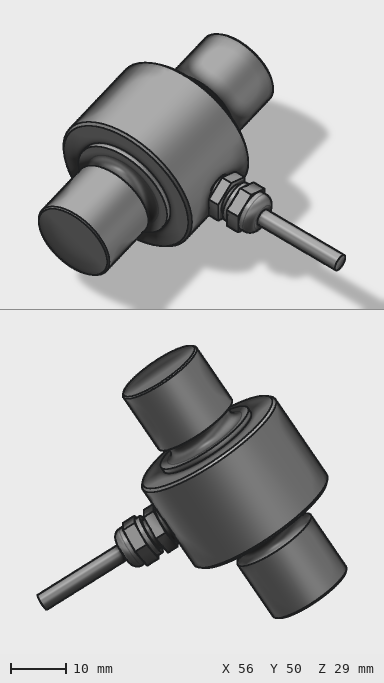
import cadquery as cq
import math


housing_radius = 29 / 2
housing_half_width = 9.0
housing_chamfer = 0.5

stud_radius = 16 / 2
stud_end_y = 25.0
stud_chamfer = 0.3
groove_radius = 1.5
shoulder_y = housing_half_width + 1.0
neck_center_y = shoulder_y + groove_radius
stud_start_y = shoulder_y + 2 * groove_radius
core_radius = 19 / 2
flange_radius = 20 / 2

cable_radius = 3.2 / 2
cable_end_x = 41.5

hex_across_flats = 8.0
gland_seat_x = 14.05
collar_radius = 7 / 2
body_hex_start_x = 14.9
body_hex_end_x = 17.0
thread_radius = 6 / 2
nut_start_x = 18.0
nut_hex_start_x = 19.0
nut_hex_end_x = 21.5
nut_radius = 7.8 / 2
dome_start_x = 22.4
dome_end_x = 24.0
dome_flat_radius = 4.92 / 2
thread_end_x = nut_hex_end_x


def rod_x(radius, start_x, end_x):
    """Cylinder on the X axis between two stations."""
    return cq.Workplane("YZ", origin=(start_x, 0, 0)).circle(radius).extrude(end_x - start_x)


def rod_y(radius, half_length):
    """Cylinder on the Y axis, centred on the origin."""
    return cq.Workplane("XZ").circle(radius).extrude(half_length, both=True)


def hexagon_x(start_x, end_x):
    """Hexagonal prism on the X axis, with corners pointing up and down."""
    corner_radius = hex_across_flats / math.sqrt(3)
    corners = []
    for index in range(6):
        angle = math.radians(90 + 60 * index)
        corners.append((corner_radius * math.cos(angle), corner_radius * math.sin(angle)))
    return cq.Workplane("YZ", origin=(start_x, 0, 0)).polyline(corners).close().extrude(end_x - start_x)


def make_housing():
    """Chamfered ring, bored for the spindle core and recessed for the gland collar."""
    ring = rod_y(housing_radius, housing_half_width).faces("<Y or >Y").chamfer(housing_chamfer)
    bore = rod_y(core_radius, housing_half_width)
    gland_recess = rod_x(collar_radius, gland_seat_x, housing_radius)
    return ring.cut(bore).cut(gland_recess)


def make_spindle():
    """Turned spindle: a stud and round groove at each end, and a flange against the -Y housing face."""
    profile = (
        cq.Workplane("XY")
        .moveTo(0, -stud_end_y)
        .lineTo(stud_radius - stud_chamfer, -stud_end_y)
        .lineTo(stud_radius, -stud_end_y + stud_chamfer)
        .lineTo(stud_radius, -stud_start_y)
        .threePointArc((stud_radius - groove_radius, -neck_center_y), (stud_radius, -shoulder_y))
        .lineTo(flange_radius, -shoulder_y)
        .lineTo(flange_radius, -housing_half_width)
        .lineTo(core_radius, -housing_half_width)
        .lineTo(core_radius, shoulder_y)
        .lineTo(stud_radius, shoulder_y)
        .threePointArc((stud_radius - groove_radius, neck_center_y), (stud_radius, stud_start_y))
        .lineTo(stud_radius, stud_end_y - stud_chamfer)
        .lineTo(stud_radius - stud_chamfer, stud_end_y)
        .lineTo(0, stud_end_y)
        .close()
    )
    return profile.revolve(360, (0, 0), (0, 1))


def make_gland_body():
    """Collar, hexagon and threaded neck, bored for the cable."""
    collar = rod_x(collar_radius, gland_seat_x, body_hex_start_x)
    hexagon = hexagon_x(body_hex_start_x, body_hex_end_x)
    neck = rod_x(thread_radius, body_hex_end_x, thread_end_x)
    cable_bore = rod_x(cable_radius, gland_seat_x, thread_end_x)
    return collar.union(hexagon).union(neck).cut(cable_bore)


def make_gland_nut():
    """Round nut with a hexagon and a domed end, bored for the neck and the cable."""
    barrel = (
        cq.Workplane("XY")
        .moveTo(nut_start_x, 0)
        .lineTo(nut_start_x, nut_radius)
        .lineTo(dome_start_x, nut_radius)
        .tangentArcPoint((dome_end_x, dome_flat_radius), relative=False)
        .lineTo(dome_end_x, 0)
        .close()
        .revolve(360, (0, 0), (1, 0))
    )
    hexagon = hexagon_x(nut_hex_start_x, nut_hex_end_x)
    neck_bore = rod_x(thread_radius, nut_start_x, thread_end_x)
    cable_bore = rod_x(cable_radius, thread_end_x, dome_end_x)
    return barrel.union(hexagon).cut(neck_bore).cut(cable_bore)


def make_cable():
    """Cable running from the gland seat out through the gland."""
    return rod_x(cable_radius, gland_seat_x, cable_end_x)


housing = make_housing()
spindle = make_spindle()
gland_body = make_gland_body()
gland_nut = make_gland_nut()
cable = make_cable()

result = cq.Compound.makeCompound(
    [housing.val(), spindle.val(), gland_body.val(), gland_nut.val(), cable.val()]
)